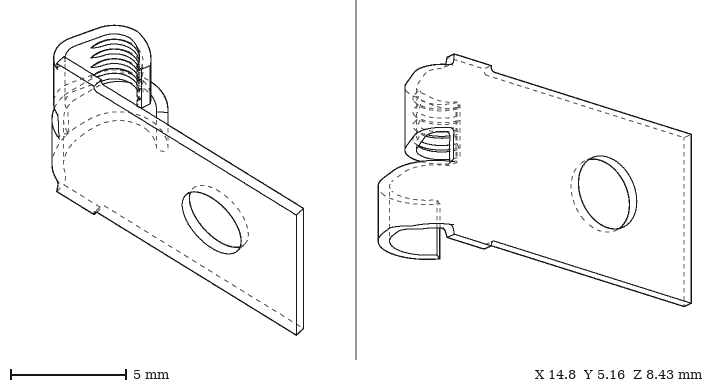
import cadquery as cq
import math


thickness = 0.5
plate_height = 7.9
plate_right = 4.75
hole_diameter = 3.3

root_x = -6.59
tab_end_x = -8.69
tab_outer_z = 4.215
notch_radius = 0.17
middle_tab_tilt = 20.0

lane_inner_z = 0.775
lane_outer_z = 3.725
lane_width = lane_outer_z - lane_inner_z
lane_middle_z = (lane_inner_z + lane_outer_z) / 2

small_root_bend_x = -8.25
small_root_radius = 1.295
small_tip_bend_x = -7.41
small_tip_radius = 1.6
small_height = 3.975
small_tip_angle = 13.0

tip_bevel_sweep = 14.0
tip_bevel_depth = 0.27
tip_taper_angle = 17.0

groove_count = 4
groove_pitch = 0.64
groove_depth = 0.15

large_root_bend_x = -7.98
large_root_radius = 2.06
large_tip_bend_x = -7.68
large_tip_radius = 2.13
large_height = 5.16
large_tip_angle = 35.0

taper_start_y = 1.43
taper_end_y = 2.87
taper_depth = 0.385

overshoot = 15.0


def on_circle(center, radius, degrees):
    """Point on a circle, the angle measured from +X towards +Y."""
    angle = math.radians(degrees)
    return (center[0] + radius * math.cos(angle), center[1] + radius * math.sin(angle))


def make_finger(root_bend_x, root_radius, tip_center, tip_radius, tip_angle, bottom_z):
    """Finger running from the plate through a root bend, a straight leg and a tip curl."""
    root_center = (root_bend_x, root_radius)
    dx = tip_center[0] - root_center[0]
    dy = tip_center[1] - root_center[1]
    lean = math.asin((root_radius - tip_radius) / math.hypot(dx, dy)) + math.atan2(dx, dy)
    leg_angle = 180 - math.degrees(lean)
    root_middle = (270 + leg_angle) / 2
    tip_middle = (leg_angle + tip_angle) / 2
    root_inner = root_radius - thickness
    tip_inner = tip_radius - thickness
    return (
        cq.Workplane("XY", origin=(0, 0, bottom_z))
        .moveTo(root_x, 0)
        .lineTo(root_bend_x, 0)
        .threePointArc(
            on_circle(root_center, root_radius, root_middle),
            on_circle(root_center, root_radius, leg_angle),
        )
        .lineTo(*on_circle(tip_center, tip_radius, leg_angle))
        .threePointArc(
            on_circle(tip_center, tip_radius, tip_middle),
            on_circle(tip_center, tip_radius, tip_angle),
        )
        .lineTo(*on_circle(tip_center, tip_inner, tip_angle))
        .threePointArc(
            on_circle(tip_center, tip_inner, tip_middle),
            on_circle(tip_center, tip_inner, leg_angle),
        )
        .lineTo(*on_circle(root_center, root_inner, leg_angle))
        .threePointArc(
            on_circle(root_center, root_inner, root_middle),
            (root_bend_x, thickness),
        )
        .lineTo(root_x, thickness)
        .close()
        .extrude(lane_width)
    )


def bevel_tip(finger, center):
    """Cut the outer edge of the smaller finger's tip off at an angle."""
    bevel = (
        cq.Workplane("XY")
        .moveTo(*on_circle(center, small_tip_radius, small_tip_angle + tip_bevel_sweep))
        .lineTo(*on_circle(center, small_tip_radius - tip_bevel_depth, small_tip_angle))
        .lineTo(*on_circle(center, small_tip_radius + thickness, small_tip_angle))
        .close()
        .extrude(overshoot)
    )
    return finger.cut(bevel)


def taper_tip(finger, center):
    """Slope the upper edge of the smaller finger down from the crown to the tip."""
    drop = overshoot * math.tan(math.radians(tip_taper_angle))
    wedge = (
        cq.Workplane("XZ")
        .moveTo(center[0], lane_outer_z)
        .lineTo(center[0] + overshoot, lane_outer_z)
        .lineTo(center[0] + overshoot, lane_outer_z - drop)
        .close()
        .extrude(overshoot)
        .translate((0, center[1] + overshoot, 0))
    )
    return finger.cut(wedge)


def cut_grooves(finger, center):
    """Turn the V-grooves into the inside of the smaller finger's curl."""
    inner_radius = small_tip_radius - thickness
    apex_radius = inner_radius + groove_depth
    flank = groove_depth + inner_radius / 2
    for index in range(groove_count):
        groove_z = lane_middle_z + (index - (groove_count - 1) / 2) * groove_pitch
        groove = (
            cq.Workplane("XZ")
            .moveTo(apex_radius, 0)
            .lineTo(apex_radius - flank, flank)
            .lineTo(apex_radius - flank, -flank)
            .close()
            .revolve(360, (0, 0, 0), (0, 1, 0))
            .translate((center[0], center[1], groove_z))
        )
        finger = finger.cut(groove)
    return finger


def make_small_finger():
    center = (small_tip_bend_x, small_height - small_tip_radius)
    finger = make_finger(
        small_root_bend_x, small_root_radius, center, small_tip_radius, small_tip_angle, lane_inner_z
    )
    finger = bevel_tip(finger, center)
    finger = taper_tip(finger, center)
    return cut_grooves(finger, center)


def make_large_finger():
    center = (large_tip_bend_x, large_height - large_tip_radius)
    finger = make_finger(
        large_root_bend_x, large_root_radius, center, large_tip_radius, large_tip_angle, -lane_outer_z
    )
    taper = (
        cq.Workplane("YZ")
        .moveTo(taper_start_y, -lane_outer_z)
        .lineTo(taper_end_y, taper_depth - lane_outer_z)
        .lineTo(overshoot, taper_depth - lane_outer_z)
        .lineTo(overshoot, -lane_outer_z)
        .close()
        .extrude(overshoot, both=True)
    )
    return finger.cut(taper)


def bent_section(z, bend_x, bend_radius):
    """Tab outline at height z where it meets a finger and follows that finger's root bend."""
    end_x = tab_end_x - notch_radius
    middle_x = (bend_x + end_x) / 2

    def bend_point(x, radius):
        return (x, bend_radius - math.sqrt(radius**2 - (bend_x - x) ** 2))

    inner_radius = bend_radius - thickness
    return (
        cq.Workplane("XY", origin=(0, 0, z))
        .moveTo(root_x, 0)
        .lineTo(bend_x, 0)
        .threePointArc(bend_point(middle_x, bend_radius), bend_point(end_x, bend_radius))
        .lineTo(*bend_point(end_x, inner_radius))
        .threePointArc(bend_point(middle_x, inner_radius), (bend_x, thickness))
        .lineTo(root_x, thickness)
        .close()
        .val()
    )


def flat_section(z, bend_x):
    """Tab outline at height z along its free edge, split at bend_x to match a bent section."""
    end_x = tab_end_x - notch_radius
    return (
        cq.Workplane("XY", origin=(0, 0, z))
        .moveTo(root_x, 0)
        .lineTo(bend_x, 0)
        .lineTo(end_x, 0)
        .lineTo(end_x, thickness)
        .lineTo(bend_x, thickness)
        .lineTo(root_x, thickness)
        .close()
        .val()
    )


def make_tab(lower_section, upper_section, notch_bottom_z, notch_top_z, tilt=0.0):
    """Ruled tab between two sections, its end blanked by a round-cornered notch."""
    blank = cq.Workplane(cq.Solid.makeLoft([lower_section, upper_section], True))
    notch = (
        cq.Workplane("XY")
        .box(overshoot, overshoot, notch_top_z - notch_bottom_z, centered=(False, True, False))
        .edges(">X and |Y")
        .fillet(notch_radius)
        .translate((-overshoot, 0, 0))
        .rotate((0, 0, 0), (0, 0, 1), -tilt)
        .translate((tab_end_x, 0, notch_bottom_z))
    )
    return blank.cut(notch)


def make_tabs():
    small_bend = (small_root_bend_x, small_root_radius)
    large_bend = (large_root_bend_x, large_root_radius)
    top_tab = make_tab(
        bent_section(lane_outer_z, *small_bend),
        flat_section(tab_outer_z, small_root_bend_x),
        lane_outer_z,
        lane_outer_z + overshoot,
    )
    middle_tab = make_tab(
        bent_section(-lane_inner_z, *large_bend),
        bent_section(lane_inner_z, *small_bend),
        -lane_inner_z,
        lane_inner_z,
        middle_tab_tilt,
    )
    bottom_tab = make_tab(
        flat_section(-tab_outer_z, large_root_bend_x),
        bent_section(-lane_outer_z, *large_bend),
        -lane_outer_z - overshoot,
        -lane_outer_z,
    )
    return [top_tab, middle_tab, bottom_tab]


def make_plate():
    plate_width = plate_right - root_x
    return (
        cq.Workplane("XY")
        .box(plate_width, thickness, plate_height, centered=(False, False, True))
        .translate((root_x, 0, 0))
    )


def round_tab_corners(body):
    """Fillet the two inside corners where the outer tabs step down to the plate's edges."""
    half = notch_radius / 2
    for corner_z in (-plate_height / 2, plate_height / 2):
        corner = cq.selectors.BoxSelector(
            (root_x - half, 0, corner_z - half),
            (root_x + half, thickness, corner_z + half),
        )
        body = body.edges("|Y").edges(corner).fillet(notch_radius)
    return body


def cut_hole(body):
    hole = cq.Workplane("XZ").circle(hole_diameter / 2).extrude(overshoot, both=True)
    return body.cut(hole)


result = make_plate().union(make_small_finger()).union(make_large_finger())
for tab in make_tabs():
    result = result.union(tab)
result = round_tab_corners(result)
result = cut_hole(result)